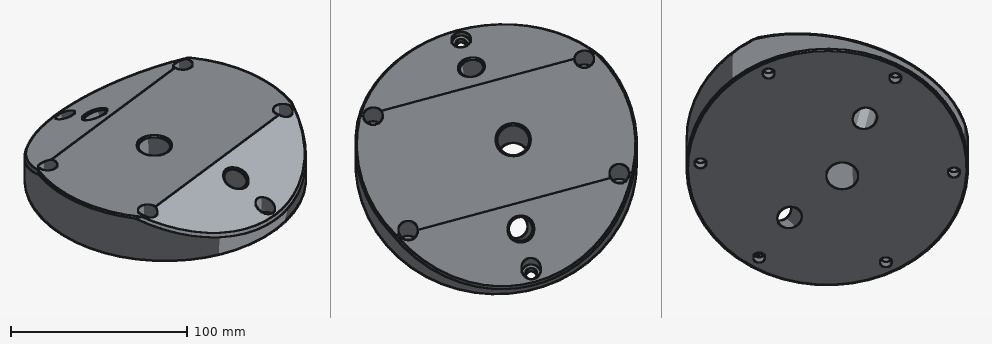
import cadquery as cq
import math

diameter = 160.0
height = 30.0
crown_width = 74.9
slope_angle = 25.0
edge_chamfer = 1.0

slope_chamfer_wall = 2.0
slope_chamfer_top = 1.0

center_hole_diameter = 18.0
center_hole_y = -10.0

slope_hole_diameter = 13.5
slope_hole_x = 50.9

screw_count = 6
screw_circle_radius = 72.0
screw_hole_diameter = 6.7
screw_head_diameter = 11.0
screw_seat_height = 5.6

radius = diameter / 2
crown_half = crown_width / 2
slope = math.tan(math.radians(slope_angle))


def slope_height(x):
    """Height of the sloping side at distance x from the centre plane."""
    return height - (x - crown_half) * slope


def make_sloped_cylinder(side):
    """Cylinder cut off by one sloping plane, with its whole upper rim chamfered."""
    profile = (
        cq.Workplane("XZ")
        .polyline([
            (-side * radius, 0),
            (side * radius, 0),
            (side * radius, slope_height(radius)),
            (-side * radius, slope_height(-radius)),
        ])
        .close()
        .extrude(radius, both=True)
    )
    cylinder = cq.Workplane("XY").circle(radius).extrude(slope_height(-radius))
    solid = cylinder.intersect(profile).val()
    rim = cq.Workplane(solid).edges("%ELLIPSE").vals()
    return cq.Workplane(solid.chamfer(slope_chamfer_wall, slope_chamfer_top, rim))


def make_body():
    """Chamfered disc, trimmed on both sides to the sloping planes."""
    body = cq.Workplane("XY").circle(radius).extrude(height).edges("%CIRCLE").chamfer(edge_chamfer)
    for side in (-1, 1):
        body = body.intersect(make_sloped_cylinder(side))
    return body


def drill(point, direction, hole_diameter):
    """Through-hole cutter with a countersunk mouth at the given point."""
    axis = cq.Vector(*direction)
    mouth = cq.Vector(*point)
    hole_radius = hole_diameter / 2
    bore = cq.Solid.makeCylinder(hole_radius, 2 * height, mouth, axis)
    countersink = cq.Solid.makeCone(
        hole_radius + edge_chamfer, hole_radius, edge_chamfer, mouth, axis
    )
    return bore.fuse(countersink)


result = make_body()

result = result.cut(drill((0, center_hole_y, height), (0, 0, -1), center_hole_diameter))

for side in (-1, 1):
    mouth_point = (side * slope_hole_x, 0, slope_height(slope_hole_x))
    inward = (-side * slope, 0, -1)
    result = result.cut(drill(mouth_point, inward, slope_hole_diameter))

screws = cq.Workplane("XY").polarArray(screw_circle_radius, 0, 360, screw_count)
heads = (
    cq.Workplane("XY", origin=(0, 0, screw_seat_height))
    .polarArray(screw_circle_radius, 0, 360, screw_count)
    .circle(screw_head_diameter / 2)
    .extrude(height)
)
result = result.cut(screws.circle(screw_hole_diameter / 2).extrude(height)).cut(heads)